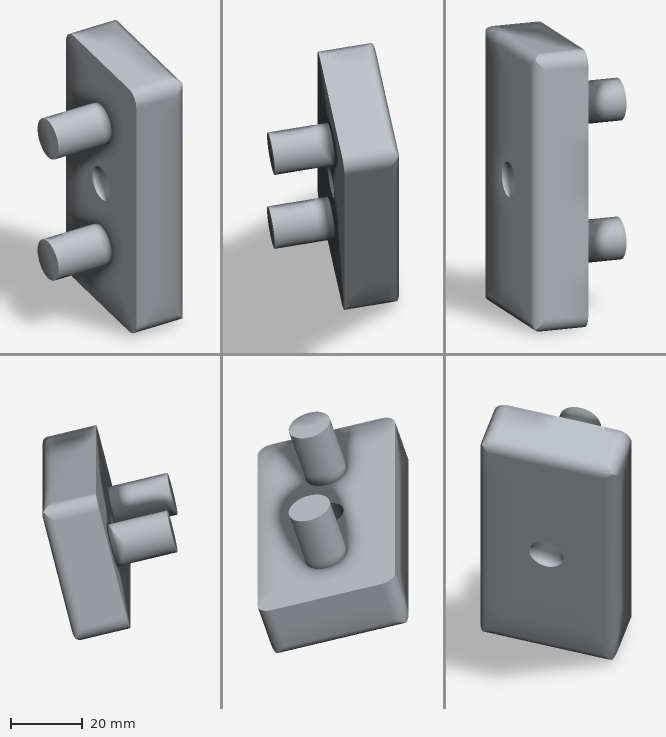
import cadquery as cq

block_height = 80.0
block_width = block_height / 2
block_depth = block_height / 5
corner_radius = 4.0
back_edge_radius = 3.0

pin_diameter = 12.0
pin_length = 17.0
pin_spacing = block_height / 2
hole_diameter = 10.0


def make_block():
    """Block from Y = 0 to Y = block_depth; its three rounded profiles meet in mitred corners."""
    block_size = (block_width, block_depth, block_height)
    block = cq.Workplane("XY").box(*block_size, centered=(True, False, True))
    round_corners = block.edges("|Y").fillet(corner_radius)
    round_back_ends = block.edges("|X and >Y").fillet(back_edge_radius)
    round_back_sides = block.edges("|Z and >Y").fillet(back_edge_radius)
    return round_corners.intersect(round_back_ends).intersect(round_back_sides)


def make_pins():
    """Two round pins standing on the front face."""
    return (
        cq.Workplane("XZ")
        .rarray(0.8, pin_spacing, 1, 2)
        .circle(pin_diameter / 2)
        .extrude(pin_length)
    )


def make_hole():
    """Cutter for the central hole through the full block depth."""
    return cq.Workplane("XZ").circle(hole_diameter / 2).extrude(-block_depth)


result = make_block().union(make_pins()).cut(make_hole())